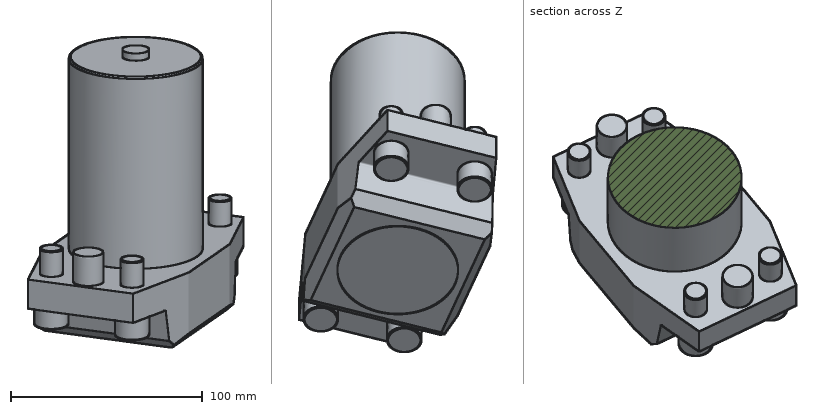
import cadquery as cq
import math


plate_thickness = 16
block_depth = 39.5
half_width = 42
half_length = 71.5
end_half_width = 30
straight_half_length = 26.5

block_half_length = 45
upright_wall_bottom = -17.8
draft_angle = 9.5
bevel_height = 6
bevel_top = bevel_height - block_depth
end_bevel_angle = 40
side_bevel_angle = 45
root_fillet = 1

cover_diameter = 63
cover_thickness = 0.5

body_diameter = 70
body_height = 105
body_chamfer = 1
shaft_diameter = 14
shaft_top = 109

bolt_x = 23
bolt_y = 57
bolt_diameter = 12
bolt_top = 14
bolt_head_diameter = 18
bolt_head_height = 12
bolt_chamfer = 0.5

pin_y = 61.5
pin_diameter = 16
pin_tip_taper = 15
pin_top = 16
pin_tip_height = 1


def slope_run(rise, angle_from_horizontal):
    """Horizontal distance covered by a slope of the given rise."""
    return rise / math.tan(math.radians(angle_from_horizontal))


def mirrored(right_half):
    """Close a profile by mirroring its right half about the vertical axis."""
    return right_half + [(-u, v) for u, v in reversed(right_half)]


def upright_cylinder(diameter, bottom, top):
    return cq.Workplane("XY").workplane(offset=bottom).circle(diameter / 2).extrude(top - bottom)


def make_housing():
    """Eight-sided flange plate with the drafted, bevelled block below it."""
    outline = mirrored([
        (end_half_width, -half_length),
        (half_width, -straight_half_length),
        (half_width, straight_half_length),
        (end_half_width, half_length),
    ])
    prism = cq.Workplane("XY").polyline(outline).close().extrude(-block_depth)

    end_bevel_run = slope_run(bevel_height, end_bevel_angle)
    side_bevel_run = slope_run(bevel_height, side_bevel_angle)
    drafted_half_length = block_half_length - slope_run(
        upright_wall_bottom - bevel_top, 90 - draft_angle
    )
    side_profile = mirrored([
        (half_length, 0),
        (half_length, -plate_thickness),
        (block_half_length, -plate_thickness),
        (block_half_length, upright_wall_bottom),
        (drafted_half_length, bevel_top),
        (drafted_half_length - end_bevel_run, -block_depth),
    ])
    side_shape = (
        cq.Workplane("YZ").polyline(side_profile).close().extrude(half_width, both=True)
    )
    for y in (-block_half_length, block_half_length):
        root_edge = cq.selectors.NearestToPointSelector((0, y, -plate_thickness))
        side_shape = side_shape.edges(root_edge).fillet(root_fillet)

    front_profile = mirrored([
        (half_width, 0),
        (half_width, bevel_top),
        (half_width - side_bevel_run, -block_depth),
    ])
    front_shape = (
        cq.Workplane("XZ").polyline(front_profile).close().extrude(half_length, both=True)
    )
    return prism.intersect(side_shape).intersect(front_shape)


def make_cover():
    return upright_cylinder(cover_diameter, -block_depth - cover_thickness, -block_depth)


def make_body():
    body = upright_cylinder(body_diameter, 0, body_height).faces(">Z").chamfer(body_chamfer)
    shaft = upright_cylinder(shaft_diameter, body_height, shaft_top)
    return body.union(shaft)


def make_bolt():
    shank = upright_cylinder(bolt_diameter, -plate_thickness, bolt_top)
    shank = shank.faces(">Z").chamfer(bolt_chamfer)
    head = upright_cylinder(
        bolt_head_diameter, -plate_thickness - bolt_head_height, -plate_thickness
    )
    head = head.faces("<Z").chamfer(bolt_chamfer)
    return shank.union(head)


def make_pin():
    tip_start = pin_top - pin_tip_height
    tip_radius = pin_diameter / 2 - slope_run(pin_tip_height, 90 - pin_tip_taper)
    profile = [
        (0, -plate_thickness),
        (pin_diameter / 2, -plate_thickness),
        (pin_diameter / 2, tip_start),
        (tip_radius, pin_top),
        (0, pin_top),
    ]
    return cq.Workplane("XZ").polyline(profile).close().revolve()


result = make_housing().union(make_cover()).union(make_body())
for y_side in (-1, 1):
    result = result.union(make_pin().translate((0, y_side * pin_y, 0)))
    for x_side in (-1, 1):
        result = result.union(make_bolt().translate((x_side * bolt_x, y_side * bolt_y, 0)))